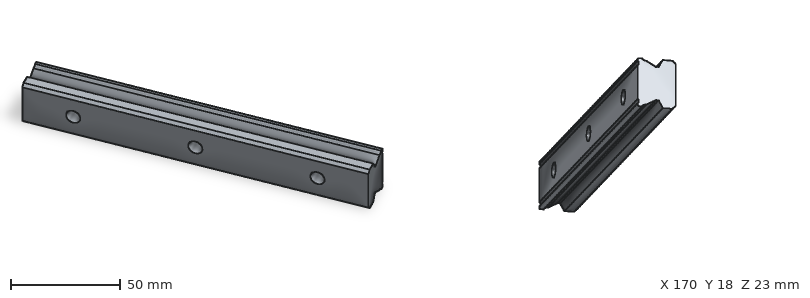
import cadquery as cq
import math

length = 170.0
depth = 18.0
height = 23.0

hole_diameter = 7.0
hole_spacing = 60.0
hole_count = 3

front_chamfer = 1.5

groove_depth = 3.5
lip_width = 2.0
relief_end = 4.0
relief_depth = 1.0
floor_start = 8.7
floor_end = 9.9
flank_angle = 60.0
groove_end = floor_end + groove_depth / math.tan(math.radians(flank_angle))

relief_mid_offset = lip_width + 0.4 * (relief_end - lip_width)
relief_mid_depth = 0.75 * relief_depth

lip_corner = 0.7
notch_start = 1.4
notch_end = 3.4
notch_depth = 0.5

back = depth / 2
top = height / 2


def at(offset, drop):
    """Profile point measured forward from the back face and down from the top."""
    return (back - offset, top - drop)


def upper_half_profile():
    """Closed YZ outline of the half above the horizontal centre plane."""
    corner_middle = lip_corner * (1 - math.sqrt(0.5))
    return (
        cq.Workplane("YZ", origin=(-length / 2, 0, 0))
        .moveTo(*at(0, top))
        .lineTo(*at(0, notch_end))
        .threePointArc(at(notch_depth, (notch_start + notch_end) / 2), at(0, notch_start))
        .lineTo(*at(0, lip_corner))
        .threePointArc(at(corner_middle, corner_middle), at(lip_corner, 0))
        .lineTo(*at(lip_width, 0))
        .threePointArc(at(relief_mid_offset, relief_mid_depth), at(relief_end, relief_depth))
        .lineTo(*at(floor_start, groove_depth))
        .lineTo(*at(floor_end, groove_depth))
        .lineTo(*at(groove_end, 0))
        .lineTo(*at(depth - front_chamfer, 0))
        .lineTo(*at(depth, front_chamfer))
        .lineTo(*at(depth, top))
        .close()
    )


def rail_body():
    """Extruded upper half joined to its mirror image below."""
    upper = upper_half_profile().extrude(length)
    return upper.union(upper.mirror("XY")).clean()


def mounting_holes():
    """Cylinders through the full depth, evenly spaced about the middle."""
    return (
        cq.Workplane("XZ", origin=(0, back, 0))
        .rarray(hole_spacing, 1.7, hole_count, 1)
        .circle(hole_diameter / 2)
        .extrude(depth)
    )


result = rail_body().cut(mounting_holes())